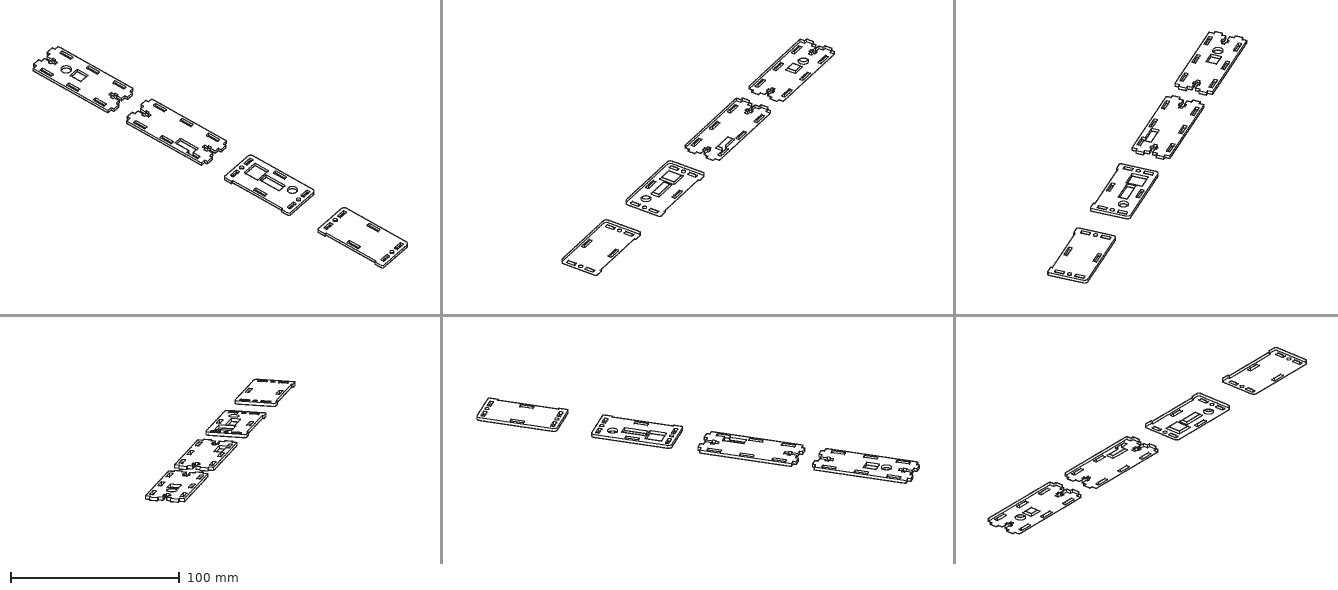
import cadquery as cq


row_length = 268.2
outer_height = 25.0
thickness = 2.0
foot_drop = 1.0
plate_height = outer_height - foot_drop

tab_reach = thickness
long_length = 61.0
long_body_length = long_length - 2 * tab_reach

end_length = 49.5
foot_length = 6.0
top_corner_radius = 2.1
foot_corner_radius = foot_drop

joint_offset = 6.5
tab_width = 4.8
joint_slot_length = 5.5
slot_width = 2.1
joint_inset = 3.2

edge_slot_length = 8.3
edge_slot_inset = 2.7
edge_slot_pitch = 20.0

screw_hole_diameter = 2.5
screw_slot_depth = 8.0
screw_slot_width = 2.1
nut_width = 4.3
nut_thickness = 2.0
nut_inset = 4.8

jack_x, jack_y = -12.5, -0.3
jack_diameter = 6.2
window_x, window_y = -3.5, 0.5
window_length, window_height = 8.0, 6.7

port_x, port_y = 12.3, -6.0
port_length, port_height = 13.5, 4.8

square_x, square_y = -12.5, 2.7
square_size = 10.2
switch_x, switch_y = 0.8, 1.3
switch_length, switch_height = 14.5, 5.5
button_x, button_y = 13.7, 4.0
button_diameter = 6.0


def block(x, y, length, height):
    """Rectangular block of sheet thickness, centred on (x, y)."""
    return cq.Workplane("XY").center(x, y).rect(length, height).extrude(thickness)


def disc(x, y, diameter):
    """Round disc of sheet thickness, centred on (x, y)."""
    return cq.Workplane("XY").center(x, y).circle(diameter / 2).extrude(thickness)


def cut_edge_slots(plate, columns):
    """Cut a slot along both long edges at each X position in columns."""
    slot_y = plate_height / 2 - edge_slot_inset
    for x in columns:
        for y in (-slot_y, slot_y):
            plate = plate.cut(block(x, y, edge_slot_length, slot_width))
    return plate


def add_tabs(plate):
    """Add two tabs at each end of a long plate, as bars running through its body."""
    for y in (-joint_offset, joint_offset):
        plate = plate.union(block(0, y, long_length, tab_width))
    return plate


def cut_nut_traps(plate):
    """Cut a screw slot crossed by a nut pocket into each end of a long plate."""
    body_end = long_body_length / 2
    for side in (-1, 1):
        screw_x = side * (body_end - screw_slot_depth / 2)
        nut_x = side * (body_end - nut_inset)
        plate = plate.cut(block(screw_x, 0, screw_slot_depth, screw_slot_width))
        plate = plate.cut(block(nut_x, 0, nut_thickness, nut_width))
    return plate


def cut_end_joints(plate):
    """Cut two upright slots with a screw hole between them near each end of an end plate."""
    joint_x = end_length / 2 - joint_inset
    for x in (-joint_x, joint_x):
        for y in (-joint_offset, joint_offset):
            plate = plate.cut(block(x, y, slot_width, joint_slot_length))
        plate = plate.cut(disc(x, 0, screw_hole_diameter))
    return plate


def long_plate_blank():
    """Plate with tabs and a nut trap at each end and three slots along each edge."""
    plate = block(0, 0, long_body_length, plate_height)
    plate = add_tabs(plate)
    plate = cut_nut_traps(plate)
    return cut_edge_slots(plate, (-edge_slot_pitch, 0, edge_slot_pitch))


def end_plate_blank():
    """Rounded plate on two feet, with joints near each end and one slot along each edge."""
    plate = block(0, -foot_drop / 2, end_length, outer_height)
    plate = plate.edges("|Z and >Y").fillet(top_corner_radius)
    plate = plate.edges("|Z and <Y").fillet(foot_corner_radius)

    relief_y = -(plate_height + foot_drop) / 2
    plate = plate.cut(block(0, relief_y, end_length - 2 * foot_length, foot_drop))

    plate = cut_end_joints(plate)
    return cut_edge_slots(plate, (0,))


def jack_plate():
    """Long plate with a round hole and a rectangular window."""
    plate = long_plate_blank()
    plate = plate.cut(disc(jack_x, jack_y, jack_diameter))
    return plate.cut(block(window_x, window_y, window_length, window_height))


def port_plate():
    """Long plate with an opening that runs into the last slot of its lower edge."""
    return long_plate_blank().cut(block(port_x, port_y, port_length, port_height))


def control_plate():
    """End plate with a square opening, a rectangular opening and a round hole."""
    plate = end_plate_blank()
    plate = plate.cut(block(square_x, square_y, square_size, square_size))
    plate = plate.cut(block(switch_x, switch_y, switch_length, switch_height))
    return plate.cut(disc(button_x, button_y, button_diameter))


def plain_plate():
    """End plate without further openings."""
    return end_plate_blank()


plates = [jack_plate(), port_plate(), control_plate(), plain_plate()]
first_x = (long_length - row_length) / 2
last_x = (row_length - end_length) / 2
pitch = (last_x - first_x) / (len(plates) - 1)

bodies = []
for index, plate in enumerate(plates):
    placed_plate = plate.translate((first_x + index * pitch, 0, 0))
    bodies.append(placed_plate.solids().val())

result = cq.Compound.makeCompound(bodies)